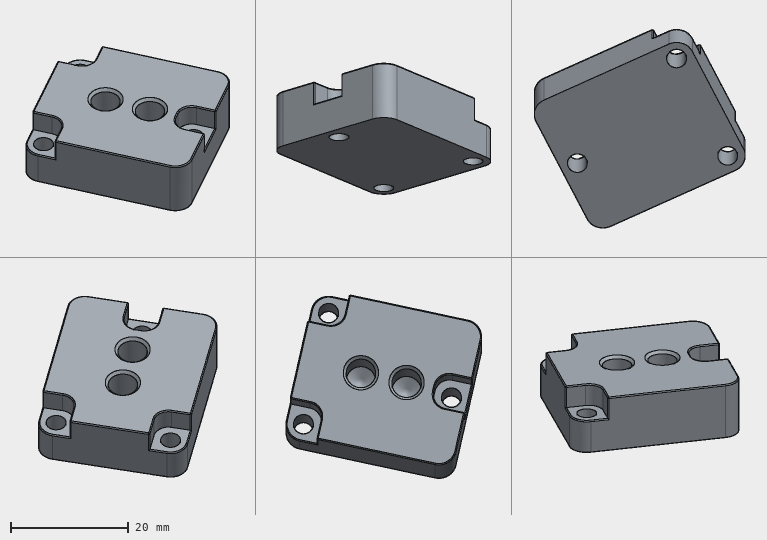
import cadquery as cq
import math

length = 29.7
width = 26.0
height = 10.0
corner_radius = 3.0
edge_chamfer = 0.2

seat_size = 6.0
seat_depth = 4.0
seat_radius = 2.5
seat_floor = height - seat_depth
screw_inset = seat_size / 2
screw_diameter = 3.4

blind_diameter = 5.02
blind_depth = 6.0
blind_chamfer = 0.5
blind_spacing = 8.0
drill_point_angle = 118.0

tolerance = 0.0003

seat_x = length / 2 - screw_inset
corner_seat_y = width / 2 - screw_inset
screw_points = [(-seat_x, -corner_seat_y), (-seat_x, corner_seat_y), (seat_x, 0)]


def make_block():
    block = cq.Workplane("XY").box(length, width, height, centered=(True, True, False))
    return block.edges("|Z").fillet(corner_radius)


def make_seat(x, y):
    """Pocket with rounded inner corners that runs out past the block's sides."""
    side_x = math.copysign(1, x)
    side_y = math.copysign(1, y) if y else 0
    size_x = 2 * seat_size
    size_y = 2 * seat_size if side_y else seat_size
    center_x = x + side_x * (size_x - seat_size) / 2
    center_y = y + side_y * (size_y - seat_size) / 2
    return (
        cq.Workplane("XY", origin=(center_x, center_y, seat_floor))
        .rect(size_x, size_y)
        .extrude(seat_depth)
        .edges("|Z")
        .fillet(seat_radius)
    )


def chamfer_rims(body, outer_walls):
    """Chamfer the top edges and every seat edge that lies on the outer walls."""

    def is_rim(edge):
        middle = edge.positionAt(0.5)
        on_top = middle.z > height - tolerance
        on_wall = cq.Vertex.makeVertex(*middle.toTuple()).distance(outer_walls) < tolerance
        return on_top or (on_wall and middle.z > seat_floor - tolerance)

    rims = [edge for edge in body.edges().vals() if is_rim(edge)]
    return body.newObject(rims).chamfer(edge_chamfer)


def make_blind_hole(x):
    """Revolved cutter: countersink, straight bore and conical drill point."""
    radius = blind_diameter / 2
    bore_bottom = height - blind_depth
    tip = bore_bottom - radius / math.tan(math.radians(drill_point_angle / 2))
    return (
        cq.Workplane("XZ", origin=(x, 0, 0))
        .moveTo(0, height)
        .lineTo(radius + blind_chamfer, height)
        .lineTo(radius, height - blind_chamfer)
        .lineTo(radius, bore_bottom)
        .lineTo(0, tip)
        .close()
        .revolve()
    )


block = make_block()
outer_walls = cq.Compound.makeCompound(block.faces("not(<Z or >Z)").vals())

body = block
for x, y in screw_points:
    body = body.cut(make_seat(x, y))
body = chamfer_rims(body, outer_walls)

screw_holes = cq.Workplane("XY").pushPoints(screw_points).circle(screw_diameter / 2).extrude(height)
body = body.cut(screw_holes)

for x in (-blind_spacing / 2, blind_spacing / 2):
    body = body.cut(make_blind_hole(x))

result = body